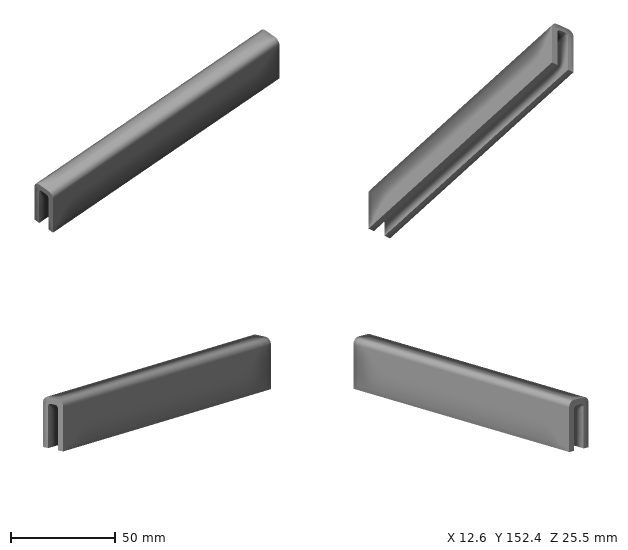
import cadquery as cq

length = 152.4
width = 12.6
height = 25.5
wall = 3.2
outer_radius = wall
inner_radius = wall / 2

slot_width = width - 2 * wall
slot_height = height - wall


def rounded_bar(bar_width, bar_height, top_radius):
    """Bar along Y standing on Z = 0, with its two long top edges rounded."""
    bar = cq.Workplane("XY").box(bar_width, length, bar_height, centered=(True, True, False))
    return bar.faces(">Z").edges("|Y").fillet(top_radius)


outside = rounded_bar(width, height, outer_radius)
slot = rounded_bar(slot_width, slot_height, inner_radius)
result = outside.cut(slot)